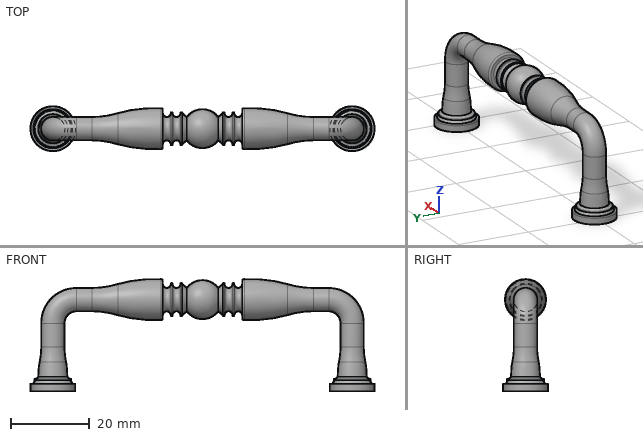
import cadquery as cq
import math

hole_spacing = 76.2
grip_height = 23.37
rod_radius = 3.0
bend_radius = 6.0

base_radius = 5.75
base_height = 2.0
base_edge_round = 0.2
skirt_radius = 5.0
collar_radius = 4.75
collar_round = 0.2
collar_z = 3.0
neck_radius = 3.75
neck_bottom_z = 3.7
neck_cove_round = 1.0
flare_radius = 3.4
flare_join_z = 7.5
shank_bottom_z = 11.35

ball_radius = 5.0
ball_cone_start_x = 3.0
ball_cone_start_radius = 2.15
groove_round = 0.98
ridge_round = 0.25
first_ridge_x = 5.4
ridge_count = 2
bulge_radius = 5.25
bulge_edge_round = 0.5
bulge_end_slope = 0.04
bulge_join_x = 21.6
bulge_join_radius = 3.98
bulge_start_x = 28.2

leg_x = hole_spacing / 2
bend_bottom_z = grip_height - bend_radius
ridge_pitch = 2 * (groove_round + ridge_round)
flank_radius = rod_radius + groove_round
last_ridge_x = first_ridge_x + (ridge_count - 1) * ridge_pitch
bulge_face_x = last_ridge_x + ridge_round + 2 * groove_round


def flare_arc(length, rise):
    """Arc that starts parallel to the axis: its middle offsets and its end slope."""
    angle = 2 * math.atan2(rise, length)
    radius = length / math.sin(angle)
    mid_length = radius * math.sin(angle / 2)
    mid_rise = radius * (1 - math.cos(angle / 2))
    return mid_length, mid_rise, math.tan(angle)


def make_leg():
    """Foot, flared neck and straight shank, turned about a vertical axis."""
    mid_length, mid_rise, slope = flare_arc(shank_bottom_z - flare_join_z, flare_radius - rod_radius)
    collar_centre_radius = collar_radius - collar_round
    collar_bottom_z = collar_z - collar_round
    collar_top_z = collar_z + collar_round
    profile = (
        cq.Workplane("XZ")
        .lineTo(base_radius, 0)
        .lineTo(base_radius, base_height - base_edge_round)
        .radiusArc((base_radius - base_edge_round, base_height), -base_edge_round)
        .lineTo(skirt_radius, base_height)
        .lineTo(collar_centre_radius, collar_bottom_z)
        .radiusArc((collar_radius, collar_z), -collar_round)
        .radiusArc((collar_centre_radius, collar_top_z), -collar_round)
        .radiusArc((neck_radius, neck_bottom_z), neck_cove_round)
        .spline([(flare_radius, flare_join_z)], tangents=[(0, 1), (-slope, 1)], includeCurrent=True)
        .threePointArc((rod_radius + mid_rise, shank_bottom_z - mid_length), (rod_radius, shank_bottom_z))
        .lineTo(rod_radius, bend_bottom_z)
        .lineTo(0, bend_bottom_z)
        .close()
    )
    return profile.revolve(360, (0, 0, 0), (0, 1, 0)).translate((leg_x, 0, 0))


def make_bend():
    """Quarter-circle elbow joining the shank to the grip."""
    return (
        cq.Workplane("XY", origin=(leg_x, 0, bend_bottom_z))
        .circle(rod_radius)
        .revolve(90, (-bend_radius, 0, 0), (-bend_radius, -1, 0))
    )


def add_ridge_tip(profile, centre_x):
    """Continue the profile over the round tip of the ridge at centre_x."""
    return (
        profile.radiusArc((centre_x, flank_radius + ridge_round), ridge_round)
        .radiusArc((centre_x + ridge_round, flank_radius), ridge_round)
    )


def add_groove(profile, start_x):
    """Continue the profile down and up the half-round groove that starts at start_x."""
    return (
        profile.radiusArc((start_x + groove_round, rod_radius), -groove_round)
        .radiusArc((start_x + 2 * groove_round, flank_radius), -groove_round)
    )


def make_half_grip():
    """Cone out of the ball, ridges, bulge and rod of one half of the grip, turned about X."""
    mid_length, mid_rise, slope = flare_arc(bulge_start_x - bulge_join_x, bulge_join_radius - rod_radius)
    profile = (
        cq.Workplane("XZ")
        .moveTo(ball_cone_start_x, 0)
        .lineTo(ball_cone_start_x, ball_cone_start_radius)
        .lineTo(first_ridge_x - ridge_round, flank_radius)
    )
    for index in range(ridge_count):
        ridge_x = first_ridge_x + index * ridge_pitch
        profile = add_ridge_tip(profile, ridge_x)
        profile = add_groove(profile, ridge_x + ridge_round)
    profile = (
        profile.lineTo(bulge_face_x, bulge_radius - bulge_edge_round)
        .radiusArc((bulge_face_x + bulge_edge_round, bulge_radius), bulge_edge_round)
        .spline(
            [(bulge_join_x, bulge_join_radius)],
            tangents=[(1, bulge_end_slope), (1, -slope)],
            includeCurrent=True,
        )
        .threePointArc((bulge_start_x - mid_length, rod_radius + mid_rise), (bulge_start_x, rod_radius))
        .lineTo(leg_x - bend_radius, rod_radius)
        .lineTo(leg_x - bend_radius, 0)
        .close()
    )
    return profile.revolve(360, (0, 0, 0), (1, 0, 0)).translate((0, 0, grip_height))


half_pull = make_half_grip().union(make_bend()).union(make_leg())
ball = cq.Workplane("XY").sphere(ball_radius).translate((0, 0, grip_height))
result = half_pull.union(half_pull.mirror("YZ")).union(ball)